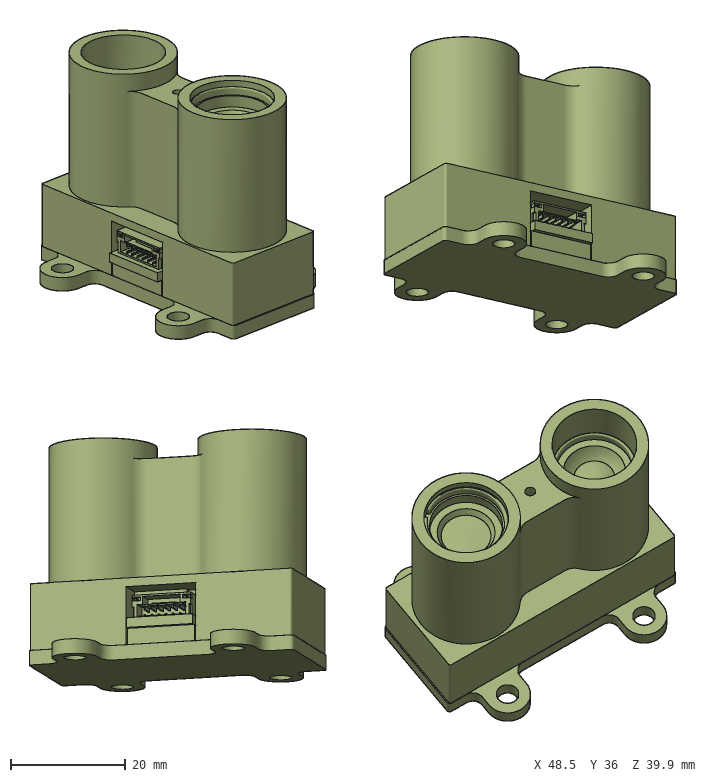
import cadquery as cq
import math

BASE_LENGTH = 48.5
BASE_WIDTH = 20.0
BASE_HEIGHT = 2.6
BASE_CORNER_RADIUS = 0.6
EAR_X = 14.5
EAR_Y = 14.0
EAR_RADIUS = 4.0
EAR_ROOT_RADIUS = 2.0
EAR_HOLE_DIAMETER = 3.9

BODY_WIDTH = 19.9
BODY_LENGTH = 48.0
BODY_TOP = 14.5
BODY_CORNER_RADIUS = 0.4

TOTAL_HEIGHT = 39.9
TUBE_X = 13.65
TUBE_DIAMETER = 19.0
BORE_DIAMETER = 14.8
WEB_TOP = 36.6
WEB_WIDTH = 9.8
WEB_FILLET = 3.0
WEB_HOLE_DIAMETER = 1.8
WEB_HOLE_DEPTH = 5.0

RING_INNER_DIAMETER = 13.5
RING_HEIGHT = 1.4
RING_EDGE_RADIUS = 0.3
RING_GAP = 1.45
RING_GAP_ANGLE = 41.0
RIGHT_RING_GAP_ANGLE = RING_GAP_ANGLE - 90.0

LEFT_FLOOR_DEPTH = 8.55
LEFT_LENS_DIAMETER = 10.9
LEFT_DOME_DIAMETER = 7.2
LEFT_RECESS_DEPTH = 2.0
LEFT_RECESS_BULGE = 0.15
LEFT_DOME_HEIGHT = 1.0

RIGHT_SHELF_DEPTH = 2.5
RIGHT_SHELF_DIAMETER = 12.8
RIGHT_FLOOR_DEPTH = 4.65
RIGHT_LENS_DIAMETER = 10.1
RIGHT_DOME_DIAMETER = 8.7
RIGHT_RECESS_DEPTH = 1.0
RIGHT_DOME_HEIGHT = 0.3

FRONT_Y = -BODY_WIDTH / 2
OPENING_WIDTH = 12.75
OPENING_TOP = 12.95
OPENING_DEPTH = 5.0
NICHE_LEFT_X = 3.2
NICHE_DEPTH = 1.2
NICHE_CORNER_RADIUS = 0.9

PLUG_WIDTH = 12.25
BOARD_WIDTH = 12.0
BOARD_BOTTOM = 5.5
BOARD_TOP = 7.25
BOARD_OVERHANG = 0.85

HOUSING_WIDTH = 10.7
HOUSING_TOP = 11.4
HOUSING_SETBACK = 0.3
HOUSING_FRONT_Y = FRONT_Y + HOUSING_SETBACK
SOCKET_DEPTH = 3.0
SOCKET_WIDTH = 8.9
SOCKET_BOTTOM = 7.6
SOCKET_TOP = 9.7
KEYWAY_WIDTH = 6.85
KEYWAY_TOP = 11.1
TONGUE_WIDTH = 7.6
TONGUE_BOTTOM = 9.45
KEY_WIDTH = 4.4
KEY_HEIGHT = 0.4
TONGUE_SETBACK = 0.4
KEY_SETBACK = 1.6
LATCH_WINDOW_X = 4.55
LATCH_WINDOW_WIDTH = 1.4
LATCH_WINDOW_BOTTOM = 10.4
LATCH_WINDOW_TOP = 11.05
LATCH_WINDOW_DEPTH = 1.0
LATCH_RIB_WIDTH = 0.15
LATCH_RIB_TOP = 10.75
SIDE_NOTCH_WIDTH = 0.3
SIDE_NOTCH_TOP = 9.3
SIDE_NOTCH_DEPTH = 0.8
PIN_COUNT = 6
PIN_PITCH = 1.3
PIN_WIDTH = 0.2
PIN_SETBACK = 0.4
LOWER_PIN_HEIGHT = 0.3
UPPER_PIN_BOTTOM = 8.8


def box(x_center, width, y_front, depth, z_bottom, z_top):
    """Box centred on x_center that runs from y_front toward +Y."""
    return (
        cq.Workplane("XY", origin=(x_center, y_front + depth / 2, z_bottom))
        .box(width, depth, z_top - z_bottom, centered=(True, True, False))
    )


def cylinder(x, y, diameter, z_bottom, z_top):
    return cq.Workplane("XY", origin=(x, y, z_bottom)).circle(diameter / 2).extrude(z_top - z_bottom)


def make_base():
    base = (
        cq.Workplane("XY")
        .rect(BASE_LENGTH, BASE_WIDTH)
        .extrude(BASE_HEIGHT)
        .edges("|Z")
        .fillet(BASE_CORNER_RADIUS)
    )
    for x_side in (-1, 1):
        for y_side in (-1, 1):
            base = base.union(make_ear(x_side * EAR_X, y_side))
    for x_side in (-1, 1):
        for y_side in (-1, 1):
            base = base.cut(cylinder(x_side * EAR_X, y_side * EAR_Y, EAR_HOLE_DIAMETER, 0, BASE_HEIGHT))
    return base


def make_ear(x, y_side):
    """Rounded ear whose root flares into the long edge of the base."""
    edge_y = y_side * BASE_WIDTH / 2
    root_y = edge_y + y_side * EAR_ROOT_RADIUS
    flare_half_width = EAR_RADIUS + EAR_ROOT_RADIUS
    bend = EAR_ROOT_RADIUS * math.sqrt(0.5)
    return (
        cq.Workplane("XY")
        .moveTo(x - flare_half_width, 0)
        .lineTo(x - flare_half_width, edge_y)
        .threePointArc((x - flare_half_width + bend, root_y - y_side * bend), (x - EAR_RADIUS, root_y))
        .lineTo(x - EAR_RADIUS, y_side * EAR_Y)
        .threePointArc((x, y_side * (EAR_Y + EAR_RADIUS)), (x + EAR_RADIUS, y_side * EAR_Y))
        .lineTo(x + EAR_RADIUS, root_y)
        .threePointArc((x + flare_half_width - bend, root_y - y_side * bend), (x + flare_half_width, edge_y))
        .lineTo(x + flare_half_width, 0)
        .close()
        .extrude(BASE_HEIGHT)
    )


def make_body():
    return (
        cq.Workplane("XY", origin=(0, 0, BASE_HEIGHT))
        .rect(BODY_LENGTH, BODY_WIDTH)
        .extrude(BODY_TOP - BASE_HEIGHT)
        .edges("|Z")
        .fillet(BODY_CORNER_RADIUS)
    )


def make_web():
    """Web between the tubes; concave arcs blend its faces tangentially into the tubes."""
    half_width = WEB_WIDTH / 2
    tube_radius = TUBE_DIAMETER / 2
    arc_y = half_width + WEB_FILLET
    center_distance = tube_radius + WEB_FILLET
    arc_x = TUBE_X - math.sqrt(center_distance**2 - arc_y**2)
    tangent_angle = math.atan2(-arc_y, TUBE_X - arc_x)
    tangent_x = arc_x + WEB_FILLET * math.cos(tangent_angle)
    tangent_y = arc_y + WEB_FILLET * math.sin(tangent_angle)
    middle_angle = (tangent_angle - math.pi / 2) / 2
    middle_x = arc_x + WEB_FILLET * math.cos(middle_angle)
    middle_y = arc_y + WEB_FILLET * math.sin(middle_angle)
    web = (
        cq.Workplane("XY", origin=(0, 0, BODY_TOP))
        .moveTo(-arc_x, -half_width)
        .lineTo(arc_x, -half_width)
        .threePointArc((middle_x, -middle_y), (tangent_x, -tangent_y))
        .lineTo(TUBE_X, 0)
        .lineTo(tangent_x, tangent_y)
        .threePointArc((middle_x, middle_y), (arc_x, half_width))
        .lineTo(-arc_x, half_width)
        .threePointArc((-middle_x, middle_y), (-tangent_x, tangent_y))
        .lineTo(-TUBE_X, 0)
        .lineTo(-tangent_x, -tangent_y)
        .threePointArc((-middle_x, -middle_y), (-arc_x, -half_width))
        .close()
        .extrude(WEB_TOP - BODY_TOP)
    )
    return web.cut(cylinder(0, 0, WEB_HOLE_DIAMETER, WEB_TOP - WEB_HOLE_DEPTH, WEB_TOP))


def revolve_about_tube(profile, x):
    """Turn a radius-height profile about the axis of the tube at x."""
    return profile.close().revolve(360, (0, 0), (0, 1)).translate((x, 0, 0))


def make_left_cavity():
    floor_z = TOTAL_HEIGHT - LEFT_FLOOR_DEPTH
    recess_z = floor_z - LEFT_RECESS_DEPTH
    lens_radius = LEFT_LENS_DIAMETER / 2
    dome_radius = LEFT_DOME_DIAMETER / 2
    wall_middle = (
        (lens_radius + dome_radius) / 2 + LEFT_RECESS_BULGE,
        (floor_z + recess_z) / 2 - LEFT_RECESS_BULGE,
    )
    dome_top = (0, recess_z + LEFT_DOME_HEIGHT)
    profile = (
        cq.Workplane("XZ")
        .moveTo(0, TOTAL_HEIGHT)
        .lineTo(BORE_DIAMETER / 2, TOTAL_HEIGHT)
        .lineTo(BORE_DIAMETER / 2, floor_z)
        .lineTo(lens_radius, floor_z)
        .threePointArc(wall_middle, (dome_radius, recess_z))
        .threePointArc(dome_point(dome_radius, recess_z, LEFT_DOME_HEIGHT), dome_top)
    )
    return revolve_about_tube(profile, -TUBE_X)


def make_right_cavity():
    shelf_z = TOTAL_HEIGHT - RIGHT_SHELF_DEPTH
    floor_z = TOTAL_HEIGHT - RIGHT_FLOOR_DEPTH
    recess_z = floor_z - RIGHT_RECESS_DEPTH
    dome_radius = RIGHT_DOME_DIAMETER / 2
    dome_top = (0, recess_z + RIGHT_DOME_HEIGHT)
    profile = (
        cq.Workplane("XZ")
        .moveTo(0, TOTAL_HEIGHT)
        .lineTo(BORE_DIAMETER / 2, TOTAL_HEIGHT)
        .lineTo(BORE_DIAMETER / 2, shelf_z)
        .lineTo(RIGHT_SHELF_DIAMETER / 2, shelf_z)
        .lineTo(RIGHT_SHELF_DIAMETER / 2, floor_z)
        .lineTo(RIGHT_LENS_DIAMETER / 2, floor_z)
        .lineTo(dome_radius, recess_z)
        .threePointArc(dome_point(dome_radius, recess_z, RIGHT_DOME_HEIGHT), dome_top)
    )
    return revolve_about_tube(profile, TUBE_X)


def dome_point(rim_radius, rim_z, height):
    """Point at half the rim radius on a spherical dome."""
    sphere_radius = (rim_radius**2 + height**2) / (2 * height)
    middle_radius = rim_radius / 2
    drop = sphere_radius - math.sqrt(sphere_radius**2 - middle_radius**2)
    return (middle_radius, rim_z + height - drop)


def make_ring(x, seat_z, gap_angle):
    """Split ring resting on seat_z, with rounded top and end edges."""
    gap = (
        cq.Workplane("XY", origin=(0, 0, seat_z))
        .box(BORE_DIAMETER, RING_GAP, RING_HEIGHT, centered=(False, True, False))
        .rotate((0, 0, 0), (0, 0, 1), gap_angle)
        .translate((x, 0, 0))
    )
    ring = (
        cylinder(x, 0, BORE_DIAMETER, seat_z, seat_z + RING_HEIGHT)
        .cut(cylinder(x, 0, RING_INNER_DIAMETER, seat_z, seat_z + RING_HEIGHT))
        .cut(gap)
    )
    return ring.edges("|Z").fillet(RING_EDGE_RADIUS).faces(">Z").edges().fillet(RING_EDGE_RADIUS)


def make_opening():
    """Rectangular opening with a deeper niche above the housing; the niche has one rounded corner."""
    half_width = OPENING_WIDTH / 2
    niche_center_x = (NICHE_LEFT_X + half_width) / 2
    niche_width = half_width - NICHE_LEFT_X
    niche_depth = OPENING_DEPTH + NICHE_DEPTH
    opening = box(0, OPENING_WIDTH, FRONT_Y, OPENING_DEPTH, BASE_HEIGHT, OPENING_TOP)
    niche = box(niche_center_x, niche_width, FRONT_Y, niche_depth, HOUSING_TOP, OPENING_TOP)
    niche = niche.edges("|Z and >X and >Y").fillet(NICHE_CORNER_RADIUS)
    return opening.union(niche)


def make_connector():
    board_depth = OPENING_DEPTH + BOARD_OVERHANG
    plug = box(0, PLUG_WIDTH, FRONT_Y, OPENING_DEPTH, BASE_HEIGHT, BOARD_BOTTOM)
    board = box(0, BOARD_WIDTH, FRONT_Y - BOARD_OVERHANG, board_depth, BOARD_BOTTOM, BOARD_TOP)
    return plug.union(board).union(make_housing())


def make_housing():
    housing_depth = OPENING_DEPTH - HOUSING_SETBACK
    housing = box(0, HOUSING_WIDTH, HOUSING_FRONT_Y, housing_depth, BOARD_TOP, HOUSING_TOP)
    housing = housing.cut(box(0, SOCKET_WIDTH, HOUSING_FRONT_Y, SOCKET_DEPTH, SOCKET_BOTTOM, SOCKET_TOP))
    housing = housing.cut(box(0, KEYWAY_WIDTH, HOUSING_FRONT_Y, SOCKET_DEPTH, SOCKET_TOP, KEYWAY_TOP))
    tongue_y = HOUSING_FRONT_Y + TONGUE_SETBACK
    tongue_depth = SOCKET_DEPTH - TONGUE_SETBACK
    key_top = SOCKET_TOP + KEY_HEIGHT
    key_y = HOUSING_FRONT_Y + KEY_SETBACK
    key_depth = SOCKET_DEPTH - KEY_SETBACK
    housing = housing.union(box(0, TONGUE_WIDTH, tongue_y, tongue_depth, TONGUE_BOTTOM, SOCKET_TOP))
    housing = housing.union(box(0, KEY_WIDTH, key_y, key_depth, SOCKET_TOP, key_top))
    window_span = (LATCH_WINDOW_BOTTOM, LATCH_WINDOW_TOP)
    rib_span = (LATCH_WINDOW_BOTTOM, LATCH_RIB_TOP)
    for side in (-1, 1):
        window_x = side * LATCH_WINDOW_X
        notch_x = side * (HOUSING_WIDTH - SIDE_NOTCH_WIDTH) / 2
        window = box(window_x, LATCH_WINDOW_WIDTH, HOUSING_FRONT_Y, LATCH_WINDOW_DEPTH, *window_span)
        rib = box(window_x, LATCH_RIB_WIDTH, HOUSING_FRONT_Y, LATCH_WINDOW_DEPTH, *rib_span)
        notch = box(notch_x, SIDE_NOTCH_WIDTH, HOUSING_FRONT_Y, SIDE_NOTCH_DEPTH, BOARD_TOP, SIDE_NOTCH_TOP)
        housing = housing.cut(window).union(rib).cut(notch)
    return housing.union(make_pins())


def make_pins():
    """Two rows of contacts, along the socket floor and below the tongue."""
    pin_y = HOUSING_FRONT_Y + PIN_SETBACK
    pin_depth = SOCKET_DEPTH - PIN_SETBACK
    pins = cq.Workplane("XY")
    for index in range(PIN_COUNT):
        x = (index - (PIN_COUNT - 1) / 2) * PIN_PITCH
        pins = pins.union(
            box(x, PIN_WIDTH, pin_y, pin_depth, SOCKET_BOTTOM, SOCKET_BOTTOM + LOWER_PIN_HEIGHT)
        )
        pins = pins.union(box(x, PIN_WIDTH, pin_y, pin_depth, UPPER_PIN_BOTTOM, TONGUE_BOTTOM))
    return pins


def make_sensor():
    sensor = make_base().union(make_body()).union(make_web())
    for side in (-1, 1):
        sensor = sensor.union(cylinder(side * TUBE_X, 0, TUBE_DIAMETER, BODY_TOP, TOTAL_HEIGHT))
    sensor = sensor.cut(make_left_cavity()).cut(make_right_cavity())
    sensor = sensor.union(make_ring(-TUBE_X, TOTAL_HEIGHT - LEFT_FLOOR_DEPTH, RING_GAP_ANGLE))
    sensor = sensor.union(make_ring(TUBE_X, TOTAL_HEIGHT - RIGHT_SHELF_DEPTH, RIGHT_RING_GAP_ANGLE))
    return sensor.cut(make_opening()).union(make_connector())


result = make_sensor()